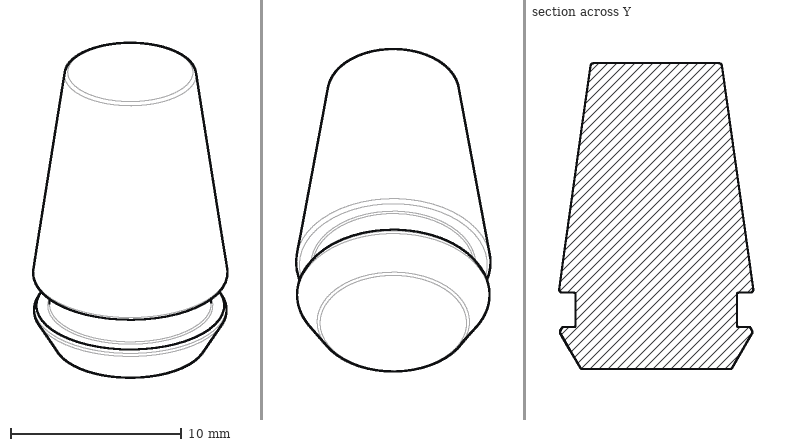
import cadquery as cq
import math

total_height = 18.0
collar_apex = 2.2
collar_top = 2.5
body_bottom = 4.5

collar_radius = 5.69
collar_taper = 30.0
neck_radius = 9.5 / 2
body_radius = 5.75
body_taper = 8.0

edge_fillet = 0.2
neck_fillet = 0.1

collar_slope = math.tan(math.radians(collar_taper))
base_radius = collar_radius - collar_apex * collar_slope
rim_radius = collar_radius - (collar_top - collar_apex) * collar_slope
tip_radius = body_radius - (total_height - body_bottom) * math.tan(math.radians(body_taper))


def revolved_body():
    """Tapered body, neck and collar as one sharp-edged solid of revolution about Z."""
    return (
        cq.Workplane("XZ")
        .moveTo(0, 0)
        .lineTo(base_radius, 0)
        .lineTo(collar_radius, collar_apex)
        .lineTo(rim_radius, collar_top)
        .lineTo(neck_radius, collar_top)
        .lineTo(neck_radius, body_bottom)
        .lineTo(body_radius, body_bottom)
        .lineTo(tip_radius, total_height)
        .lineTo(0, total_height)
        .close()
        .revolve(360, (0, 0), (0, 1))
    )


def round_circles(part, radius_and_heights, fillet):
    """Fillet the circular edges that have the given (radius, height) pairs."""
    tolerance = 0.01
    edges = cq.Workplane()
    for radius, height in radius_and_heights:
        matches = part.edges("%CIRCLE").filter(
            lambda edge: abs(edge.radius() - radius) < tolerance
            and abs(edge.Center().z - height) < tolerance
        )
        edges = edges.add(matches)
    return part.newObject([part.val().fillet(fillet, edges.vals())])


outer_corners = [
    (base_radius, 0),
    (collar_radius, collar_apex),
    (body_radius, body_bottom),
    (tip_radius, total_height),
]
neck_corners = [
    (neck_radius, collar_top),
    (neck_radius, body_bottom),
]

result = revolved_body()
result = round_circles(result, outer_corners, edge_fillet)
result = round_circles(result, neck_corners, neck_fillet)